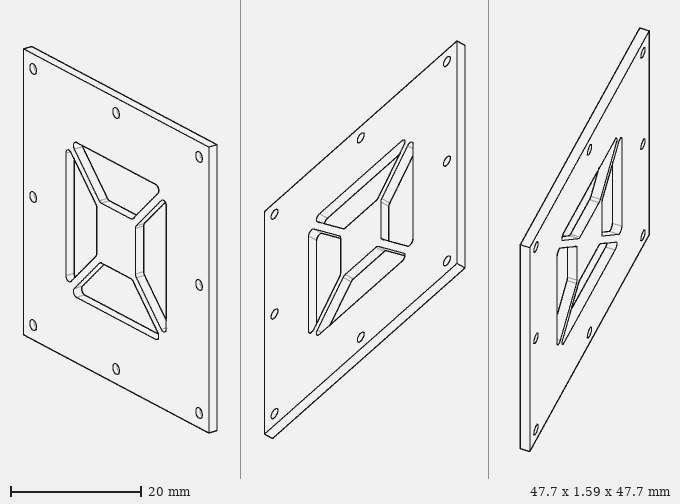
import cadquery as cq
import math

plate_size = 47.73
thickness = 1.59
frame_width = 10.95
pad_size = 10.0
rib_width = 1.25
corner_radius = 0.75
hole_diameter = 1.7
hole_edge_distance = 2.5

opening_half = plate_size / 2 - frame_width
pad_half = pad_size / 2
rib_offset = rib_width / math.sqrt(2)
hole_position = plate_size / 2 - hole_edge_distance


def make_plate():
    """Square plate standing upright, centred on the origin."""
    return cq.Workplane("XY").box(plate_size, thickness, plate_size)


def make_window():
    """Cutter for the +Z trapezoidal window between two ribs."""
    outer_half_width = opening_half - rib_offset
    inner_half_width = pad_half - rib_offset
    outline = [
        (-inner_half_width, pad_half),
        (inner_half_width, pad_half),
        (outer_half_width, opening_half),
        (-outer_half_width, opening_half),
    ]
    window = cq.Workplane("XZ").polyline(outline).close().extrude(thickness, both=True)
    return window.edges("|Y").fillet(corner_radius)


def make_holes():
    """Cutters for the holes at the plate corners and the middle of each side."""
    steps = (-hole_position, 0, hole_position)
    centres = [(x, z) for x in steps for z in steps if (x, z) != (0, 0)]
    circles = cq.Workplane("XZ").pushPoints(centres).circle(hole_diameter / 2)
    return circles.extrude(thickness, both=True)


result = make_plate().cut(make_holes())
for angle in (0, 90, 180, 270):
    result = result.cut(make_window().rotate((0, 0, 0), (0, 1, 0), angle))